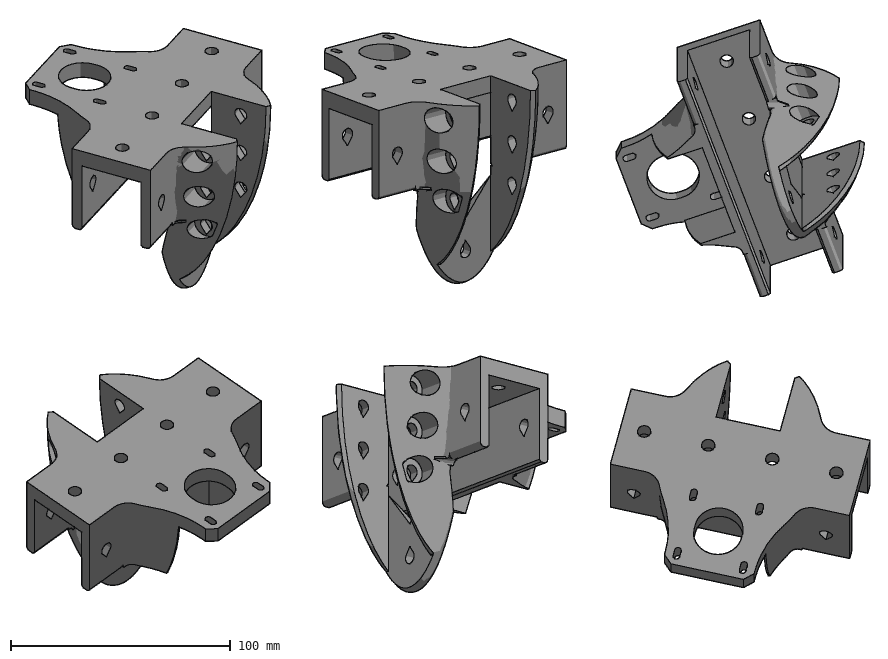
import math

import cadquery as cq

TUBE_WIDTH = 30.0
WALL = 5.0
TOP_THICKNESS = 8.0
CHANNEL_LENGTH = 112.0
INNER_X = TUBE_WIDTH / 2
OUTER_X = INNER_X + WALL
CHANNEL_BOTTOM = -43.0
WALL_OUTER_FILLET = 2.0
WALL_INNER_CHAMFER = 1.0

SEMI_X = 50.0
SEMI_Y = 36.8
SEMI_Z = 100.0

MOTOR_X = -42.0
PLATE_HALF_LENGTH = 21.5
PLATE_HALF_WIDTH = 21.0
PLATE_CORNER = 4.0
PLATE_END_X = MOTOR_X - PLATE_HALF_LENGTH
BOSS_HOLE_DIAMETER = 22.0
BOSS_HOLE_TRAVEL = 2.0
SCREW_OFFSET = 15.5
SCREW_SLOT_WIDTH = 3.0
SCREW_SLOT_TRAVEL = 3.0
MOTOR_CAVITY_HALF_WIDTH = 22.0
RIB_END_THICKNESS = 0.85

SLOT_HALF_WIDTH = 15.0
ARM_CHAMFER_ALONG_SLOT = 2.7
ARM_CHAMFER_DEPTH = 1.85
ARM_CHAMFER_LOW_Z = -86.3
FOOT_FRONT_X = 10.0
BEND_TOP_Z = -47.5
BEND_BOTTOM_Z = -65.0
BEND_RADIUS = 5.0
FOOT_EDGE_FILLET = 2.0

PLATE_BLEND_RADIUS = 50.0
WALL_BLEND_TOP_RADIUS = 9.0
WALL_BLEND_LOW_RADIUS = 4.2
WALL_BLEND_CHANGE_Z = -30.0
UNDER_BLEND_RADIUS = 2.5
UNDER_BLEND_END_RADIUS = 0.4
UNDER_BLEND_END_X = 24.0
BLEND_OVERLAP = 1.0
CURVE_STATIONS = 5
BLEND_LEVELS = (0.0, -TOP_THICKNESS, -15.0, -22.0, WALL_BLEND_CHANGE_Z, -36.0, CHANNEL_BOTTOM)
BISECTION_STEPS = 60

COVER_X = OUTER_X - WALL_OUTER_FILLET - 1.0

HOLE_DIAMETER = 6.0
TEARDROP_TIP = HOLE_DIAMETER / 2 * math.sqrt(3)
TOP_HOLE_YS = (-45.0, -15.0, 15.0, 45.0)
WALL_HOLE_Y = 45.0
WALL_HOLE_Z = -TOP_THICKNESS - TUBE_WIDTH / 2
FOOT_HOLE_Z = -81.0
ARM_HOLE_X = 30.0
ARM_HOLE_ZS = (-8.0, -28.0, -48.0)
SPOTFACE_DIAMETER = 12.0
SPOTFACE_Y = 19.5

EDGE_TOLERANCE = 0.1
BIG = 200.0


def box(x, y, z):
    """Box from (low, high) pairs."""
    return (
        cq.Workplane("XY")
        .box(x[1] - x[0], y[1] - y[0], z[1] - z[0], centered=False)
        .translate((x[0], y[0], z[0]))
    )


def both_sides(body):
    """The body together with its mirror image across Y = 0."""
    return body.union(body.mirror("XZ"))


def shrink(position, semi_axis):
    """Scale of the ellipsoid's cross section at a distance along one of its axes."""
    return math.sqrt(1 - (position / semi_axis) ** 2)


def tangent_circle(semi_u, semi_h, level, radius):
    """Circle tangent to the line h = level and, from outside, to an ellipse in the (u, h) plane.

    Returns the point where it touches the ellipse and its centre.
    """
    low, high = 0.0, math.pi / 2
    for _ in range(BISECTION_STEPS):
        angle = (low + high) / 2
        touch = (semi_u * math.cos(angle), semi_h * math.sin(angle))
        normal = (math.cos(angle) / semi_u, math.sin(angle) / semi_h)
        offset = radius / math.hypot(*normal)
        centre = (touch[0] + offset * normal[0], touch[1] + offset * normal[1])
        if centre[1] < level + radius:
            low = angle
        else:
            high = angle
    return touch, centre


def blend_arc(semi_u, semi_h, level, radius):
    """Start, middle and end of the arc that joins the line h = level to the ellipse."""
    touch, centre = tangent_circle(semi_u, semi_h, level, radius)
    start = (centre[0], level)
    toward = (start[0] + touch[0] - 2 * centre[0], start[1] + touch[1] - 2 * centre[1])
    reach = radius / math.hypot(*toward)
    return start, (centre[0] + toward[0] * reach, centre[1] + toward[1] * reach), touch


def chain(points):
    """Straight edges that join the points in order."""
    return [cq.Edge.makeLine(first, second) for first, second in zip(points, points[1:])]


def loft(sections):
    """Solid lofted through closed sections, each a list of edges."""
    return cq.Workplane(obj=cq.Solid.makeLoft([cq.Wire.assembleEdges(edges) for edges in sections]))


def spread(first, last, count):
    """Evenly spaced values from first to last."""
    return [first + (last - first) * i / (count - 1) for i in range(count)]


def half_ellipsoid():
    """Lower half of the ellipsoid."""
    ball = cq.Solid.makeSphere(1.0, angleDegrees1=-90, angleDegrees2=0, angleDegrees3=360)
    scale = cq.Matrix([[SEMI_X, 0, 0, 0], [0, SEMI_Y, 0, 0], [0, 0, SEMI_Z, 0]])
    return cq.Workplane(obj=ball.transformGeometry(scale))


def level_semi_axes(z):
    """Semi-axes along X and Y of the ellipsoid's cross section at a height."""
    scale = shrink(z, SEMI_Z)
    return SEMI_X * scale, SEMI_Y * scale


def wall_blend_arc(z):
    """Points of the arc from the +X wall to the ellipsoid; its radius shrinks going down."""
    semi_x, semi_y = level_semi_axes(z)
    fraction = min(1.0, z / WALL_BLEND_CHANGE_Z)
    radius = WALL_BLEND_TOP_RADIUS + (WALL_BLEND_LOW_RADIUS - WALL_BLEND_TOP_RADIUS) * fraction
    return [cq.Vector(x, y, z) for y, x in blend_arc(semi_y, semi_x, OUTER_X, radius)]


def plate_blend_arc(z):
    """Points of the arc from the motor plate's side to the ellipsoid, mirrored to the +X side."""
    arc = blend_arc(*level_semi_axes(z), PLATE_HALF_WIDTH, PLATE_BLEND_RADIUS)
    return [cq.Vector(x, y, z) for x, y in arc]


def ellipse_edge(z, first, last):
    """Stretch of the ellipsoid's cross section between two of its points."""
    semi_x, semi_y = level_semi_axes(z)
    last_angle, first_angle = [math.degrees(math.atan2(p.y / semi_y, p.x / semi_x)) for p in (last, first)]
    return cq.Edge.makeEllipse(
        semi_x, semi_y, cq.Vector(0, 0, z), angle1=last_angle, angle2=first_angle
    )


def slot_corner(z):
    """Point where the slot's +Y side meets the ellipsoid."""
    semi_x, semi_y = level_semi_axes(z)
    return cq.Vector(semi_x * shrink(SLOT_HALF_WIDTH, semi_y), SLOT_HALF_WIDTH, z)


def wall_cover(arc):
    """Points from inside the wall, along its outer face, to the start of the wall blend."""
    start = arc[0]
    cover_y = start.y + BLEND_OVERLAP
    return [cq.Vector(COVER_X, cover_y, start.z), cq.Vector(OUTER_X, cover_y, start.z), start]


def rear_section(z):
    """Outline of half the motor side, mirrored to +X: wall, blend, ellipse, blend and plate."""
    wall_arc = wall_blend_arc(z)
    plate_arc = plate_blend_arc(z)
    cover = wall_cover(wall_arc)
    end_x = -PLATE_END_X
    plate = [
        plate_arc[0],
        cq.Vector(end_x - PLATE_CORNER, PLATE_HALF_WIDTH, z),
        cq.Vector(end_x, PLATE_HALF_WIDTH - PLATE_CORNER, z),
        cq.Vector(end_x, 0, z),
        cq.Vector(COVER_X, 0, z),
        cover[0],
    ]
    curves = [
        cq.Edge.makeThreePointArc(*wall_arc),
        ellipse_edge(z, wall_arc[-1], plate_arc[-1]),
        cq.Edge.makeThreePointArc(*plate_arc),
    ]
    return chain(cover) + curves + chain(plate)


def arm_section(z):
    """Outline of the +Y arm: wall, blend, ellipse and slot side."""
    wall_arc = wall_blend_arc(z)
    cover = wall_cover(wall_arc)
    corner = slot_corner(z)
    curves = [cq.Edge.makeThreePointArc(*wall_arc), ellipse_edge(z, wall_arc[-1], corner)]
    return chain(cover) + curves + chain([corner, cq.Vector(COVER_X, SLOT_HALF_WIDTH, z), cover[0]])


def under_blend():
    """Blend between the underside of the +X wall and the foot on the +Y side, fading past the wall."""

    def section(x, radius):
        scale = shrink(x, SEMI_X)
        arc = blend_arc(SEMI_Y * scale, SEMI_Z * scale, -CHANNEL_BOTTOM, radius)
        start, middle, touch = [cq.Vector(x, y, -depth) for y, depth in arc]
        inside_y = touch.y - BLEND_OVERLAP
        inside_z = CHANNEL_BOTTOM + BLEND_OVERLAP
        ring = [
            touch,
            cq.Vector(x, inside_y, touch.z),
            cq.Vector(x, inside_y, inside_z),
            cq.Vector(x, start.y, inside_z),
            start,
        ]
        return [cq.Edge.makeThreePointArc(start, middle, touch)] + chain(ring)

    below_wall = [section(x, UNDER_BLEND_RADIUS) for x in (INNER_X, (INNER_X + OUTER_X) / 2, OUTER_X)]
    fading = [section(OUTER_X, UNDER_BLEND_RADIUS), section(UNDER_BLEND_END_X, UNDER_BLEND_END_RADIUS)]
    return loft(below_wall).union(loft(fading))


def channel():
    """Top plate and two walls, with the walls' lower edges rounded outside and bevelled inside."""
    body = box((-OUTER_X, OUTER_X), (-CHANNEL_LENGTH / 2, CHANNEL_LENGTH / 2), (CHANNEL_BOTTOM, 0))
    body = body.edges("|Y and <Z").fillet(WALL_OUTER_FILLET)
    body = body.cut(box((-INNER_X, INNER_X), (-BIG, BIG), (-BIG, -TOP_THICKNESS)))
    for x in (-INNER_X, INNER_X):
        body = body.edges(cq.NearestToPointSelector((x, 0, CHANNEL_BOTTOM))).chamfer(WALL_INNER_CHAMFER)
    return body


def rib_end(z):
    """Point (x, z) where a rib has thinned to its end thickness."""
    _, centre = tangent_circle(*level_semi_axes(z), PLATE_HALF_WIDTH, PLATE_BLEND_RADIUS)
    rise = centre[1] - MOTOR_CAVITY_HALF_WIDTH - RIB_END_THICKNESS
    return math.sqrt(PLATE_BLEND_RADIUS**2 - rise**2) - centre[0], z


def motor_side():
    """Motor plate with two curved ribs under it, one on each side of the motor."""
    body = both_sides(loft([rear_section(z) for z in BLEND_LEVELS]).mirror("YZ"))
    half = MOTOR_CAVITY_HALF_WIDTH
    body = body.cut(box((-BIG, -OUTER_X), (-half, half), (-BIG, -TOP_THICKNESS)))
    ends = [rib_end(z) for z in spread(-TOP_THICKNESS, CHANNEL_BOTTOM, CURVE_STATIONS)]
    beyond_ribs = (
        cq.Workplane("XZ")
        .moveTo(*ends[0])
        .spline(ends[1:], includeCurrent=True)
        .lineTo(ends[-1][0], -BIG)
        .lineTo(-BIG, -BIG)
        .lineTo(-BIG, -TOP_THICKNESS)
        .close()
        .extrude(BIG, both=True)
    )
    return body.cut(beyond_ribs)


def is_front_rim(edge):
    """True for the curved edges between the front faces of the foot and the ellipsoid."""
    bounds = edge.BoundingBox()
    return bounds.xmax < INNER_X + EDGE_TOLERANCE and min(bounds.ylen, bounds.zlen) > EDGE_TOLERANCE


def arms_and_foot():
    """Two arms behind the +X wall that join into a foot hanging below the channel."""
    profile = (
        cq.Workplane("XZ")
        .moveTo(INNER_X, 0)
        .lineTo(BIG, 0)
        .lineTo(BIG, -BIG)
        .lineTo(FOOT_FRONT_X, -BIG)
        .lineTo(FOOT_FRONT_X, BEND_BOTTOM_Z)
        .lineTo(INNER_X, BEND_TOP_Z)
        .close()
        .extrude(BIG, both=True)
        .edges(cq.NearestToPointSelector((INNER_X, 0, BEND_TOP_Z)))
        .fillet(BEND_RADIUS)
    )
    body = half_ellipsoid().intersect(profile)
    rim = [edge for edge in body.edges().vals() if is_front_rim(edge)]
    foot = body.newObject(rim).fillet(FOOT_EDGE_FILLET)
    foot = foot.cut(box((-BIG, BIG), (-BIG, BIG), (CHANNEL_BOTTOM, 0)))
    arm = loft([arm_section(z) for z in BLEND_LEVELS])
    return foot.union(both_sides(arm)).union(both_sides(under_blend()))


def arm_chamfer():
    """Wedge that blunts the thin edge between the slot and the ellipsoid on the +Y arm."""

    def section(z):
        semi_x, semi_y = level_semi_axes(z)
        corner = slot_corner(z)
        rim_y = SLOT_HALF_WIDTH + ARM_CHAMFER_DEPTH
        on_slot = corner - cq.Vector(ARM_CHAMFER_ALONG_SLOT, 0, 0)
        on_rim = cq.Vector(semi_x * shrink(rim_y, semi_y), rim_y, z)
        run = on_rim - on_slot
        outside = corner + cq.Vector(WALL, 0, 0)
        return chain([on_slot - run, on_rim + run, outside, on_slot - run])

    wedge = loft([section(z) for z in spread(0, ARM_CHAMFER_LOW_Z, 2 * CURVE_STATIONS)])
    return wedge.intersect(box((INNER_X, BIG), (0, BIG), (-BIG, BIG)))


def cut_slot(body):
    """Slot between the arms, with a V-shaped opening through the foot below the channel."""
    half = SLOT_HALF_WIDTH
    slot = box((INNER_X, BIG), (-half, half), (-BIG, BIG))
    vee = (
        cq.Workplane("YZ")
        .moveTo(-half, CHANNEL_BOTTOM)
        .lineTo(half, CHANNEL_BOTTOM)
        .lineTo(half, BEND_TOP_Z)
        .lineTo(0, BEND_BOTTOM_Z)
        .lineTo(-half, BEND_TOP_Z)
        .close()
        .extrude(BIG)
    )
    return body.cut(slot).cut(vee).cut(both_sides(arm_chamfer()))


def teardrop(plane, u, v, up):
    """Long bar with a teardrop section, centred on (u, v) of the plane; the tip points up or down."""
    r = HOLE_DIAMETER / 2
    half_angle = math.asin(r / TEARDROP_TIP)
    across = r * math.cos(half_angle)
    along = up * r * math.sin(half_angle)
    return (
        cq.Workplane(plane)
        .moveTo(u - across, v + along)
        .threePointArc((u, v - up * r), (u + across, v + along))
        .lineTo(u, v + up * TEARDROP_TIP)
        .close()
        .extrude(BIG, both=True)
    )


def cut_top_holes(body):
    """Channel screws, motor screw slots and the motor boss opening, all through the top plate."""
    corners = [(MOTOR_X + i * SCREW_OFFSET, j * SCREW_OFFSET) for i in (-1, 1) for j in (-1, 1)]
    underside = (0, 0, -TOP_THICKNESS)
    outlines = (
        cq.Workplane("XY", origin=underside)
        .pushPoints([(0, y) for y in TOP_HOLE_YS])
        .circle(HOLE_DIAMETER / 2),
        cq.Workplane("XY", origin=underside)
        .pushPoints(corners)
        .slot2D(SCREW_SLOT_WIDTH + SCREW_SLOT_TRAVEL, SCREW_SLOT_WIDTH),
        cq.Workplane("XY", origin=underside)
        .center(MOTOR_X, 0)
        .slot2D(BOSS_HOLE_DIAMETER + BOSS_HOLE_TRAVEL, BOSS_HOLE_DIAMETER),
    )
    for outline in outlines:
        body = body.cut(outline.extrude(TOP_THICKNESS))
    return body


def cut_side_holes(body):
    """Teardrop holes through the walls, the foot and the arms; those in the arms are spotfaced."""
    for y in (-WALL_HOLE_Y, WALL_HOLE_Y):
        body = body.cut(teardrop("YZ", y, WALL_HOLE_Z, -1))
    body = body.cut(teardrop("YZ", 0, FOOT_HOLE_Z, 1))
    for z in ARM_HOLE_ZS:
        body = body.cut(teardrop("XZ", ARM_HOLE_X, z, -1))
        spotface = (
            cq.Workplane("XZ", origin=(0, -SPOTFACE_Y, 0))
            .center(ARM_HOLE_X, z)
            .circle(SPOTFACE_DIAMETER / 2)
            .extrude(BIG)
        )
        body = body.cut(both_sides(spotface))
    return body


result = channel().union(motor_side()).union(arms_and_foot())
result = cut_slot(result)
result = cut_top_holes(result)
result = cut_side_holes(result)